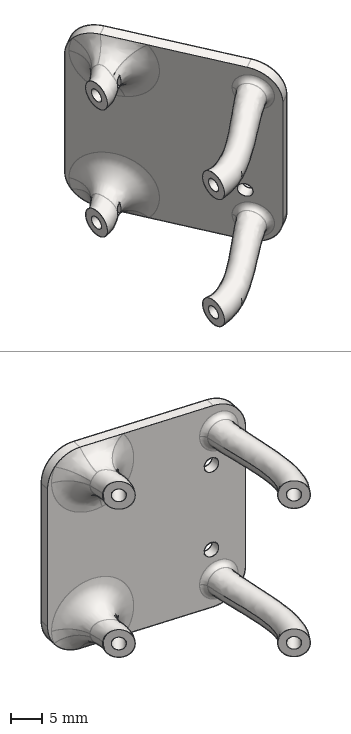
import cadquery as cq
import math

plate_width = 36.7
plate_height = 38.0
plate_thickness = 2.05
corner_radius = 6.0
plate_hole_diameter = 2.65
plate_hole_x = 12.0
plate_hole_z = 7.98

mirror_z = -0.1

post_radius = 2.62
post_z = 14.0
tip_tilt = math.radians(30)
waist_position = 0.55
bore_diameter = 2.4
bore_depth = 5.0
selection_margin = 0.05

short_post = {
    "foot_x": -10.9,
    "tip_x": -10.2,
    "reach": 10.65,
    "waist_shift": 0.08,
    "waist_x_radius": 2.35,
    "waist_z_radius": 2.6,
    "foot_fillet": 5.1,
}
long_post = {
    "foot_x": 13.3,
    "tip_x": 14.05,
    "reach": 24.62,
    "waist_shift": 0.4,
    "waist_x_radius": 2.25,
    "waist_z_radius": 2.55,
    "foot_fillet": 1.0,
}

foot_direction = cq.Vector(0, -1, 0)
tip_direction = cq.Vector(-math.sin(tip_tilt), -math.cos(tip_tilt), 0)


def make_plate():
    body = cq.Workplane("XZ").rect(plate_width, plate_height).extrude(plate_thickness)
    body = body.edges("|Y").fillet(corner_radius)
    holes = (
        cq.Workplane("XZ", origin=(0, 0, mirror_z))
        .pushPoints([(plate_hole_x, plate_hole_z), (plate_hole_x, -plate_hole_z)])
        .circle(plate_hole_diameter / 2)
        .extrude(plate_thickness)
    )
    return body.cut(holes)


def section(center, direction, x_radius, z_radius):
    """Elliptical wire square to the direction, its second axis along Z."""
    across = direction.cross(cq.Vector(0, 0, 1))
    plane = cq.Plane(center, across, direction)
    return cq.Workplane(plane).ellipse(x_radius, z_radius).wire().val()


def make_post(post, z):
    """Curved post, round at foot and tip and slimmer at the waist."""
    foot = cq.Vector(post["foot_x"], -plate_thickness, z)
    tip = cq.Vector(post["tip_x"], -post["reach"], z)
    centerline = cq.Edge.makeSpline([foot, tip], tangents=[foot_direction, tip_direction])
    waist = centerline.positionAt(waist_position) + cq.Vector(post["waist_shift"], 0, 0)
    waist_direction = centerline.tangentAt(waist_position)
    sections = [
        section(foot, foot_direction, post_radius, post_radius),
        section(waist, waist_direction, post["waist_x_radius"], post["waist_z_radius"]),
        section(tip, tip_direction, post_radius, post_radius),
    ]
    return cq.Solid.sweep_multi(sections, centerline)


def fillet_foot(body, post, z):
    """Blend the edge where a post meets the plate."""
    reach_around = cq.Vector(post_radius, selection_margin, post_radius)
    foot = cq.Vector(post["foot_x"], -plate_thickness, z)
    near_foot = cq.selectors.BoxSelector(
        (foot - reach_around).toTuple(),
        (foot + reach_around).toTuple(),
    )
    return body.edges(near_foot).fillet(post["foot_fillet"])


def make_bore(post, z):
    """Blind hole along the tip axis, starting at the tip face."""
    tip = cq.Vector(post["tip_x"], -post["reach"], z)
    return cq.Solid.makeCylinder(bore_diameter / 2, bore_depth, tip, -tip_direction)


result = make_plate()
post_heights = (mirror_z - post_z, mirror_z + post_z)
post_places = [(post, z) for post in (long_post, short_post) for z in post_heights]
for post, z in post_places:
    result = result.union(cq.Workplane(make_post(post, z)))
    result = fillet_foot(result, post, z)
for post, z in post_places:
    result = result.cut(cq.Workplane(make_bore(post, z)))